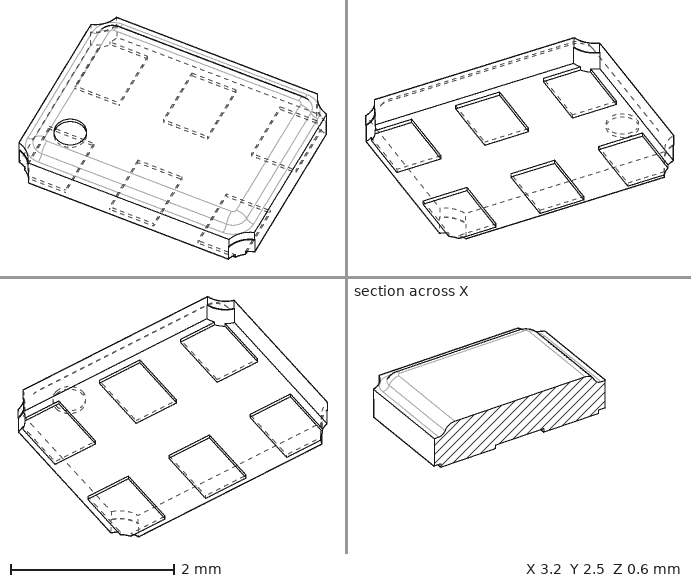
import cadquery as cq
import math

length = 3.2
width = 2.5
pad_height = 0.05
layer_split = 0.3
body_top = 0.45
total_height = 0.6

notch_offset = 0.1
upper_notch_radius = 0.348
lower_notch_radius = 0.357

pads_per_row = 3
pad_length = 0.6
pad_width = 0.8
pad_inset = 0.1
pad_row_shift = 0.004

lid_inset = 0.066
lid_corner_radius = 0.279
lid_top_inset = 0.3
flare_share = 0.4

marker_radius = 0.2
marker_depth = 0.05
marker_x = -1.055
marker_y = -0.7

edge_run = lid_top_inset - lid_inset
edge_turn = 2 * math.atan2(total_height - body_top, edge_run)
radius_sum = edge_run / math.sin(edge_turn)
flare_radius = flare_share * radius_sum
shoulder_radius = radius_sum - flare_radius

corner_x = length / 2 - lid_inset - lid_corner_radius
corner_y = width / 2 - lid_inset - lid_corner_radius


def box(size_x, size_y, bottom, top):
    """Box centred on the Z axis between two heights."""
    return cq.Workplane("XY", origin=(0, 0, bottom)).rect(size_x, size_y).extrude(top - bottom)


def corner_notches(radius, bottom, top):
    """Four upright cylinders that cut the body corners."""
    spacing_x = length + 2 * notch_offset
    spacing_y = width + 2 * notch_offset
    corners = (
        cq.Workplane("XY", origin=(0, 0, bottom))
        .rect(spacing_x, spacing_y, forConstruction=True)
        .vertices()
    )
    return corners.circle(radius).extrude(top - bottom)


def pad_row(side):
    """One row of pads on the -Y (side = -1) or +Y (side = 1) half of the underside."""
    pitch = (length - 2 * pad_inset - pad_length) / (pads_per_row - 1)
    row_y = side * (width / 2 - pad_inset - pad_width / 2)
    return (
        cq.Workplane("XY", origin=(side * pad_row_shift, row_y, 0))
        .rarray(pitch, 1, pads_per_row, 1)
        .rect(pad_length, pad_width)
        .extrude(pad_height)
    )


def make_body():
    """Two-layer body with pads; the lower layer's notches also cut the pads."""
    lower = box(length, width, pad_height, layer_split).union(pad_row(-1)).union(pad_row(1))
    lower = lower.cut(corner_notches(lower_notch_radius, 0, layer_split))
    upper = box(length, width, layer_split, body_top)
    upper = upper.cut(corner_notches(upper_notch_radius, layer_split, body_top))
    return lower.union(upper)


def flare_point(angle):
    """Point on the flare, as distance from the corner centre and height."""
    return (
        lid_corner_radius - flare_radius * math.sin(angle),
        body_top + flare_radius * (1 - math.cos(angle)),
    )


def shoulder_point(angle):
    """Point on the shoulder, as distance from the corner centre and height."""
    return (
        lid_corner_radius - edge_run + shoulder_radius * math.sin(angle),
        total_height - shoulder_radius * (1 - math.cos(angle)),
    )


def lid_edge_section(plane, origin):
    """Section of the lid edge on an upright plane, from the corner centre outward."""
    return (
        cq.Workplane(plane, origin=origin)
        .moveTo(0, body_top)
        .lineTo(*flare_point(0))
        .threePointArc(flare_point(edge_turn / 2), flare_point(edge_turn))
        .threePointArc(shoulder_point(edge_turn / 2), shoulder_point(0))
        .lineTo(0, total_height)
        .close()
    )


def make_lid():
    """Flat core, edge strips along the four sides, and revolved corners."""
    lid = box(2 * corner_x, 2 * corner_y, body_top, total_height)
    end_strip = lid_edge_section("XZ", (corner_x, corner_y, 0)).extrude(2 * corner_y)
    side_strip = lid_edge_section("YZ", (-corner_x, corner_y, 0)).extrude(2 * corner_x)
    for strip in (end_strip, side_strip):
        opposite = strip.rotate((0, 0, 0), (0, 0, 1), 180)
        lid = lid.union(strip).union(opposite)
    corner = lid_edge_section("XZ", (0, 0, 0)).revolve(360, (0, 0), (0, 1))
    for x in (-corner_x, corner_x):
        for y in (-corner_y, corner_y):
            lid = lid.union(corner.translate((x, y, 0)))
    return lid


def make_marker():
    """Cutter for the pin-1 recess."""
    top = cq.Workplane("XY", origin=(marker_x, marker_y, total_height))
    return top.circle(marker_radius).extrude(-marker_depth)


result = make_body().union(make_lid()).cut(make_marker())